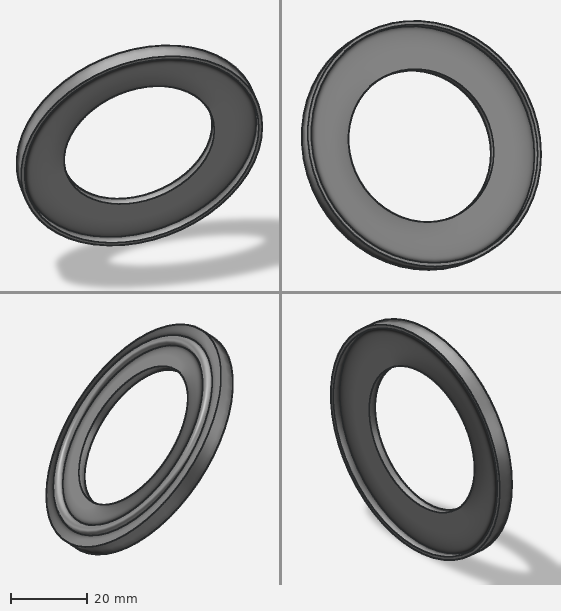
import cadquery as cq

outer_radius = 33.0
bore_radius = 20.5
rim_thickness = 4.35

web_back = 2.05
recess_radius = 32.0

bead_center_radius = 28.2
bead_half_width = 1.45
bead_height = 1.45
bead_wall_height = 0.2
bead_inner_radius = bead_center_radius - bead_half_width
bead_outer_radius = bead_center_radius + bead_half_width

cone_rise = 0.1

profile = (
    cq.Workplane("XY")
    .moveTo(-cone_rise, bore_radius)
    .lineTo(0, bead_inner_radius)
    .lineTo(-bead_wall_height, bead_inner_radius)
    .threePointArc((-bead_height, bead_center_radius), (-bead_wall_height, bead_outer_radius))
    .lineTo(0, bead_outer_radius)
    .lineTo(0, outer_radius)
    .lineTo(rim_thickness, outer_radius)
    .lineTo(rim_thickness, recess_radius)
    .lineTo(web_back, recess_radius)
    .lineTo(web_back, bore_radius)
    .close()
)

result = profile.revolve(360, (0, 0, 0), (1, 0, 0))